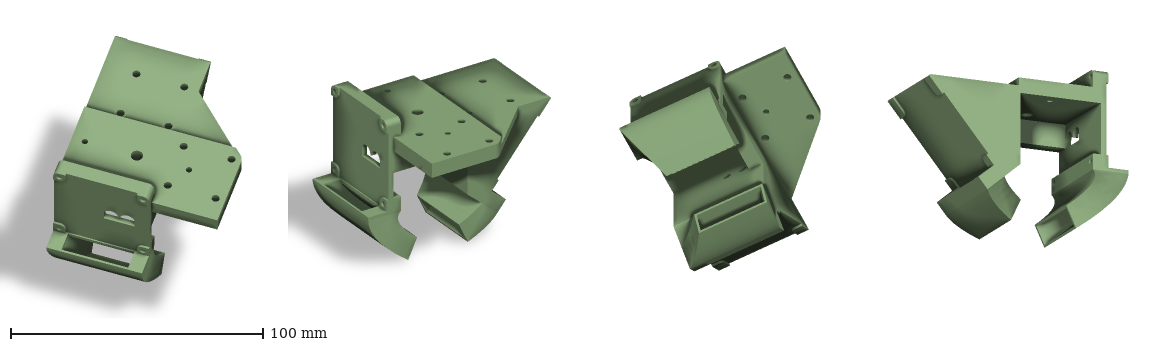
import cadquery as cq
import math

total_width = 67.4
total_depth = 86.9
total_height = 62.9

fan_size = 40.0
fan_hole_diameter = 2.5
fan_hole_inset = 2.5
pad_size = 5.0
pad_height = 0.95
pad_radius = 2.5

platform_top = 55.4
platform_bottom = 49.1
platform_front = 12.1
platform_back = 47.9
corner_start_y = 71.25
corner_radius = 4.0
large_hole_diameter = 4.8
bolt_hole_diameter = 3.2
bolt_spacing = 20.0
locating_hole_diameter = 2.5
locating_hole_spacing = 43.45
locating_center = (27.3, 31.8)
bolt_center = (53.4, 32.0)

shelf_depth = 8.8
wall_thickness = 2.4
wall_back = platform_front
wall_front = wall_back - wall_thickness
beam_back = 15.5
lower_beam_top = 28.0
shelf_top = 22.85
shelf_bottom = 21.4

clamp_x = (23.8, 30.7)
clamp_z = 42.4
clamp_clearance_radius = 3.0
clamp_screw_diameter = 2.5
clamp_mouth_diameter = 3.2
clamp_hole_depth = 6.95
clamp_mouth_depth = 0.9

rear_top = 52.1
rear_front = 47.1
slope_angle = math.radians(50)
slope_fan_start = 3.9
slope_shelf_thickness = 6.1
rear_bolt_center = (23.9, 61.5)
rear_bolt_depth = 8.7

duct_wall = 0.95
opening_x = (6.1, 33.9)
opening_depth = 8.2
outlet_x = (12.1, 42.4)
outlet_top = 8.95
outlet_gap = 19.8
outlet_run = 4.3
nozzle_y = 31.5
front_drift = 0.25
rear_drift = 0.42
duct_sections = 5

front_outer_control = (0, 12.0)
front_inner_control = (10.25, 17.7)
front_air_outer_control = (duct_wall, 12.5)
front_air_inner_control = (11.6, 16.7)
rear_outer_control = (57.35, 3.5)
rear_inner_control = (50.6, 11.7)
rear_air_outer_control = (56.65, 4.35)
rear_air_inner_control = (51.2, 10.8)


def box(x, y, z):
    """Box between (min, max) limits on each axis."""
    size = (x[1] - x[0], y[1] - y[0], z[1] - z[0])
    return cq.Workplane("XY").box(*size, centered=False).translate((x[0], y[0], z[0]))


def side_prism(points, x):
    """Prism along X from an outline of (y, z) points."""
    plane = cq.Workplane("YZ", origin=(x[0], 0, 0))
    return plane.polyline(points).close().extrude(x[1] - x[0])


def toward(start, end, distance):
    """Point at a given distance from start along the line to end."""
    share = distance / math.dist(start, end)
    return tuple(a + (b - a) * share for a, b in zip(start, end))


def bezier(start, control, end, t):
    """Value of a quadratic Bezier curve at t."""
    return (1 - t) ** 2 * start + 2 * t * (1 - t) * control + t**2 * end


def slope_point(down, out):
    """(y, z) of a point given down the rear slope and outward from it."""
    y = slope_top_y - down * math.cos(slope_angle) + out * math.sin(slope_angle)
    z = rear_top - down * math.sin(slope_angle) - out * math.cos(slope_angle)
    return (y, z)


fan_x = (0, fan_size)
slope_top_y = total_depth - pad_height * math.sin(slope_angle)
slope_fan_end = slope_fan_start + fan_size
slope_bottom = slope_fan_end + slope_shelf_thickness
slope_shelf_out = pad_height + shelf_depth
pad_front = wall_front - pad_height
fan_bottom = total_height - fan_size
platform_thickness = platform_top - platform_bottom
clamp_left = clamp_x[0] - clamp_clearance_radius
clamp_right = clamp_x[1] + clamp_clearance_radius
clamp_bottom = clamp_z - clamp_clearance_radius
lip_offset = outlet_gap / 2


def platform():
    diagonal_end_y = corner_start_y - (total_width - fan_size)
    outline = [
        (0, platform_front),
        (total_width, platform_front),
        (total_width, diagonal_end_y),
        (fan_size, corner_start_y),
        (0, corner_start_y),
    ]
    plane = cq.Workplane("XY", origin=(0, 0, platform_bottom))
    plate = plane.polyline(outline).close().extrude(platform_thickness)
    corner = cq.selectors.NearestToPointSelector((total_width, diagonal_end_y, rear_top))
    plate = plate.edges(corner).fillet(corner_radius)
    step = box((0, total_width), (platform_back, total_depth), (rear_top, platform_top))
    return plate.cut(step)


def vertical_holes(centers, diameter, top, depth):
    plane = cq.Workplane("XY", origin=(0, 0, top))
    return plane.pushPoints(centers).circle(diameter / 2).extrude(-depth)


def bolt_square(center):
    half = bolt_spacing / 2
    return [(center[0] + i * half, center[1] + j * half) for i in (-1, 1) for j in (-1, 1)]


def platform_holes():
    half = locating_hole_spacing / 2
    locating = [(locating_center[0] + i * half, locating_center[1]) for i in (-1, 1)]
    groups = [
        (bolt_square(bolt_center), bolt_hole_diameter),
        (locating, locating_hole_diameter),
        ([locating_center], large_hole_diameter),
    ]
    rear_bolts = bolt_square(rear_bolt_center)
    holes = vertical_holes(rear_bolts, bolt_hole_diameter, rear_top, rear_bolt_depth)
    for centers, diameter in groups:
        holes = holes.union(vertical_holes(centers, diameter, platform_top, platform_thickness))
    return holes


def corner_pad(plane, corner, x_sign, y_sign, length):
    """Pad reaching from an outer corner inward, with its inner corner rounded."""
    x, y = corner
    far_x = x + x_sign * pad_size
    far_y = y + y_sign * length
    middle = pad_radius * (1 - math.sqrt(0.5))
    outline = (
        plane.moveTo(x, y)
        .lineTo(far_x, y)
        .lineTo(far_x, far_y - y_sign * pad_radius)
        .threePointArc(
            (far_x - x_sign * middle, far_y - y_sign * middle),
            (far_x - x_sign * pad_radius, far_y),
        )
        .lineTo(x, far_y)
        .close()
    )
    return outline.extrude(pad_height)


def fan_pads(plane, low, high, low_length, high_length):
    """Four corner pads on a fan face, between local Y limits of its plane."""
    pads = corner_pad(plane, (0, low), 1, 1, low_length)
    pads = pads.union(corner_pad(plane, (fan_size, low), -1, 1, low_length))
    pads = pads.union(corner_pad(plane, (0, high), 1, -1, high_length))
    return pads.union(corner_pad(plane, (fan_size, high), -1, -1, high_length))


def front_wall():
    outline = [
        (0, shelf_bottom),
        (beam_back, shelf_bottom),
        (beam_back, lower_beam_top),
        (wall_back, lower_beam_top),
        (wall_back, platform_bottom),
        (beam_back, platform_bottom),
        (beam_back, total_height),
        (wall_front, total_height),
        (wall_front, shelf_top),
        (0, shelf_top),
    ]
    face = cq.Workplane("XZ", origin=(0, wall_front, 0))
    pads = fan_pads(face, fan_bottom, total_height, pad_size, pad_size)
    wall = side_prism(outline, fan_x).union(pads)
    for x in fan_x:
        corner = cq.selectors.NearestToPointSelector((x, (beam_back + pad_front) / 2, total_height))
        wall = wall.edges("|Y").edges(corner).fillet(pad_radius)
    return wall


def front_fan_holes():
    across = (fan_hole_inset, fan_size - fan_hole_inset)
    up = (fan_bottom + fan_hole_inset, total_height - fan_hole_inset)
    centers = [(x, z) for x in across for z in up]
    face = cq.Workplane("XZ", origin=(0, pad_front, 0))
    return face.pushPoints(centers).circle(fan_hole_diameter / 2).extrude(pad_front - beam_back)


def clamp_window():
    """Flat-bottomed opening with one round arch over each clamp hole."""
    arch_top = clamp_z + clamp_clearance_radius
    outline = (
        cq.Workplane("XZ", origin=(0, wall_front, 0))
        .moveTo(clamp_left, clamp_bottom)
        .lineTo(clamp_left, clamp_z)
        .threePointArc((clamp_x[0], arch_top), (clamp_x[0] + clamp_clearance_radius, clamp_z))
        .lineTo(clamp_x[1] - clamp_clearance_radius, clamp_z)
        .threePointArc((clamp_x[1], arch_top), (clamp_right, clamp_z))
        .lineTo(clamp_right, clamp_bottom)
        .close()
    )
    return outline.extrude(-wall_thickness)


def clamp_holes():
    """Stepped blind holes in the front of the rear block."""
    centers = [(x, clamp_z) for x in clamp_x]
    face = cq.Workplane("XZ", origin=(0, rear_front, 0))
    mouths = face.pushPoints(centers).circle(clamp_mouth_diameter / 2).extrude(-clamp_mouth_depth)
    screws = face.pushPoints(centers).circle(clamp_screw_diameter / 2).extrude(-clamp_hole_depth)
    return mouths.union(screws)


def clamp_rib():
    return box((clamp_right, fan_size), (wall_back, rear_front), (clamp_bottom, platform_bottom))


def rear_block():
    front_rise = (slope_point(slope_bottom, 0)[0] - rear_front) / math.tan(slope_angle)
    outline = [
        (rear_front, rear_top),
        slope_point(0, 0),
        slope_point(slope_fan_end, 0),
        slope_point(slope_fan_end, slope_shelf_out),
        slope_point(slope_bottom, slope_shelf_out),
        (rear_front, slope_point(slope_bottom, 0)[1] + front_rise),
    ]
    normal = (0, math.sin(slope_angle), -math.cos(slope_angle))
    face = cq.Workplane(cq.Plane((0, *slope_point(0, 0)), (1, 0, 0), normal))
    pads = fan_pads(face, 0, slope_fan_end, slope_fan_start + pad_size, pad_size)
    return side_prism(outline, fan_x).union(pads)


def duct_body(outer, inner, inlet, outlet, drift):
    """Loft whose outer and inner walls follow (y, z) curves while it shifts in X."""
    wires = []
    for step in range(duct_sections):
        t = step / (duct_sections - 1)
        left, right = [bezier(a, a + (b - a) * drift, b, t) for a, b in zip(inlet, outlet)]
        outer_y, outer_z = [bezier(a, b, c, t) for a, b, c in zip(*outer)]
        inner_y, inner_z = [bezier(a, b, c, t) for a, b, c in zip(*inner)]
        corners = [
            (left, outer_y, outer_z),
            (right, outer_y, outer_z),
            (right, inner_y, inner_z),
            (left, inner_y, inner_z),
        ]
        wires.append(cq.Wire.makePolygon([cq.Vector(*c) for c in corners], close=True))
    return cq.Workplane(cq.Solid.makeLoft(wires))


def duct_pair(outer, inner, passage, drift):
    """Outer duct and its air passage.

    outer and inner are the wall curves; passage gives the inlet point and
    the middle control point of the two passage curves.
    """
    outlet_low = toward(outer[2], inner[2], duct_wall)
    outlet_high = toward(inner[2], outer[2], duct_wall)
    body = duct_body(outer, inner, fan_x, outlet_x, drift)
    passage_outlet = (outlet_x[0] + duct_wall, outlet_x[1] - duct_wall)
    air_outer = (*passage[0], outlet_low)
    air_inner = (*passage[1], outlet_high)
    air = duct_body(air_outer, air_inner, opening_x, passage_outlet, drift)
    return body, air


def front_duct():
    low = (nozzle_y - lip_offset - outlet_run, 0)
    high = (nozzle_y - lip_offset, outlet_top)
    outer = ((0, shelf_bottom), front_outer_control, low)
    inner = ((beam_back, shelf_bottom), front_inner_control, high)
    opening_back = duct_wall + opening_depth
    passage = (
        ((duct_wall, shelf_bottom), front_air_outer_control),
        ((opening_back, shelf_bottom), front_air_inner_control),
    )
    body, air = duct_pair(outer, inner, passage, front_drift)
    inlet = box(opening_x, (duct_wall, opening_back), (shelf_bottom, shelf_top))
    return body, air.union(inlet)


def rear_duct():
    low = (nozzle_y + lip_offset + outlet_run, 0)
    high = (nozzle_y + lip_offset, outlet_top)
    outer = (slope_point(slope_bottom, slope_shelf_out), rear_outer_control, low)
    inner = (slope_point(slope_bottom, 0), rear_inner_control, high)
    passage_out = slope_shelf_out - duct_wall
    passage_in = passage_out - opening_depth
    passage = (
        (slope_point(slope_bottom, passage_out), rear_air_outer_control),
        (slope_point(slope_bottom, passage_in), rear_air_inner_control),
    )
    body, air = duct_pair(outer, inner, passage, rear_drift)
    inlet_outline = [
        slope_point(slope_fan_end, passage_in),
        slope_point(slope_fan_end, passage_out),
        slope_point(slope_bottom, passage_out),
        slope_point(slope_bottom, passage_in),
    ]
    return body, air.union(side_prism(inlet_outline, opening_x))


front_body, front_air = front_duct()
rear_body, rear_air = rear_duct()

result = platform().union(rear_block()).union(front_wall()).union(clamp_rib())
result = result.union(front_body).union(rear_body)
for cutter in (front_air, rear_air, platform_holes(), front_fan_holes(), clamp_window(), clamp_holes()):
    result = result.cut(cutter)